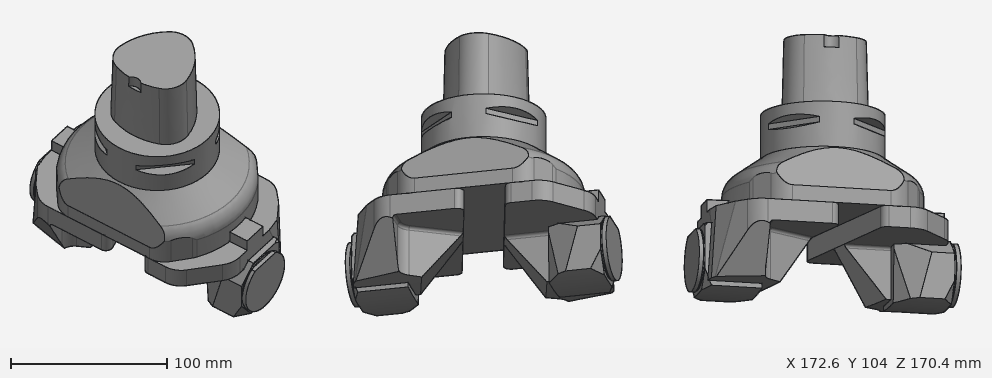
import cadquery as cq
import math


HALF_WIDTH = 104.0 / 2
CORNER_RADIUS = 16.5
KEY_WIDTH = 16.9
KEY_HEIGHT = 8.3

SHOULDER_RADIUS = 64.9
SHOULDER_ARC_RADIUS = 13.8
SHOULDER_ARC_BASE = 15.2
CONE_ANGLE = 35.0
COLLAR_RADIUS = 80.0 / 2
COLLAR_BASE = 40.0
COLLAR_TOP = 69.9
CORNER_FLAT_DISTANCE = 64.2
CORNER_FLAT_ANGLE = 40.0
FACET_BASE = 10.0
FACET_LEAN = 20.0

GROOVE_FLOOR_DISTANCE = 35.2
GROOVE_FLOOR_HEIGHT = 3.6
GROOVE_MOUTH_HEIGHT = 8.6
GROOVE_LEVEL = 58.0
GROOVE_LENGTH = 69.0
GROOVE_OVERRUN = 1.7
GROOVE_ANGLES = (45, 135, 225, 315)

SHANK_TOP = 117.9
FLANK_RADIUS = 46.0
FLANK_DISTANCE = 24.2
FLANK_HALF_ANGLE = 21.8
SHANK_BASE_RATIO = 1.045
NOTCH_RADIUS = 6.4
NOTCH_CENTER = 28.1
NOTCH_DEPTH = 8.1

PLATE_THICKNESS = 14.0
STEM_DEPTH = 48.5
STEM_EDGE_DEPTH = 46.0
END_WALL_X = 78.2
FLARE_X = 81.1
SIDE_SLOPE_TOP = 16.4
SIDE_SLOPE_END_Y = 37.0
FLARE_DEPTH = 47.1
INNER_WALL_X = 13.6
INNER_WALL_ANGLE = 15.0
INNER_CORNER_RADIUS = 4.8
END_CORNER_RADIUS = 18.6
REAR_SLANT_ANGLE = 41.5
REAR_SLANT_DISTANCE = 74.0
FRONT_SLANT_ANGLE = 43.5
FRONT_SLANT_DISTANCE = 76.3
STEP_X = 47.0
STEP_Y = 33.3
WEB_ANGLE = 30.0
WEB_FILLET = 10.4
PLATE_FILLET = 2.2
INNER_SLOPE_ANGLE = 38.2

FLARE_END = (-END_WALL_X, -15.2, 0)
FLARE_RIDGE_TOP = (-76.5, -25.9, 0)
FLARE_RIDGE_FOOT = (-79.5, -26.0, -FLARE_DEPTH)
FLARE_SLANT_TOP = (-67.1, -40.0, 0)
FLARE_FOOT = (-76.5, -30.0, -FLARE_DEPTH)

CARTRIDGE_INNER_X = 44.9
CARTRIDGE_OUTER_X = 82.3
CARTRIDGE_HALF_WIDTH = 40.2 / 2
CARTRIDGE_TOP = 9.8
CARTRIDGE_SIDE_DEPTH = 51.2
CARTRIDGE_DEPTH = 52.5
TOP_CHAMFER_WIDTH = 12.8
TOP_CHAMFER_DEPTH = 10.9

BEVEL_TOP = (-67.1, CARTRIDGE_HALF_WIDTH, -CARTRIDGE_TOP - TOP_CHAMFER_DEPTH)
BEVEL_BOTTOM = (-59.2, CARTRIDGE_HALF_WIDTH, -CARTRIDGE_SIDE_DEPTH)
BEVEL_RIDGE_TOP = (-CARTRIDGE_INNER_X, 8.6, -17.0)
BEVEL_RIDGE_BOTTOM = (-53.5, 17.3, -CARTRIDGE_SIDE_DEPTH)
BEVEL_INNER_BOTTOM = (-CARTRIDGE_INNER_X, 6.5, -CARTRIDGE_SIDE_DEPTH)

LOWER_REAR_CUT = (6.5, -9.5, 13.0)
LOWER_FRONT_CUT = (4.1, 9.1, 10.9)
UPPER_FRONT_CUT = (1.7, 4.1, -2.0)

CAP_OUTER_X = 86.3
CAP_INNER_X = 83.3
CAP_RADIUS = 20.9
CAP_HUB_RADIUS = 20.0
CAP_DEPTH = 29.9
CAP_FLAT_DEPTH = 12.0

FAR = 345.1


def direction(angle):
    """Unit vector in the XY plane."""
    return (math.cos(math.radians(angle)), math.sin(math.radians(angle)))


def trim(body, point, normal):
    """Remove everything beyond a plane; `normal` points into the removed side."""
    plane = cq.Plane(origin=point, normal=normal)
    return body.cut(cq.Workplane(plane).rect(FAR, FAR).extrude(FAR))


def trim_through(body, first, second, third, outside):
    """Trim by the plane through three points, on the side that faces `outside`."""
    origin = cq.Vector(*first)
    normal = (cq.Vector(*second) - origin).cross(cq.Vector(*third) - origin)
    if normal.dot(cq.Vector(*outside)) < 0:
        normal = normal * -1
    return trim(body, first, normal.toTuple())


def y_on_line(x, angle, distance):
    """Y where the line with this normal angle and distance from the origin has the given X."""
    across, up = direction(angle)
    return (distance - x * across) / up


def x_on_line(y, angle, distance):
    """X where the line with this normal angle and distance from the origin has the given Y."""
    across, up = direction(angle)
    return (distance - y * up) / across



def adapter_base():
    arc_center = SHOULDER_RADIUS - SHOULDER_ARC_RADIUS

    def on_arc(angle):
        across, up = direction(angle)
        return (arc_center + SHOULDER_ARC_RADIUS * across, SHOULDER_ARC_BASE + SHOULDER_ARC_RADIUS * up)

    cone_normal = 90 - CONE_ANGLE
    turned = (
        cq.Workplane("XZ")
        .moveTo(0, 0)
        .lineTo(SHOULDER_RADIUS, 0)
        .lineTo(SHOULDER_RADIUS, SHOULDER_ARC_BASE)
        .threePointArc(on_arc(cone_normal / 2), on_arc(cone_normal))
        .lineTo(COLLAR_RADIUS, COLLAR_BASE)
        .lineTo(0, COLLAR_BASE)
        .close()
        .revolve(360, (0, 0, 0), (0, 1, 0))
    )
    blank = cq.Workplane().rect(2 * SHOULDER_RADIUS, 2 * HALF_WIDTH).extrude(COLLAR_BASE)
    for side in (-1, 1):
        for end in (-1, 1):
            across, up = direction(CORNER_FLAT_ANGLE)
            normal = (end * across, side * up, 0)
            foot = tuple(CORNER_FLAT_DISTANCE * part for part in normal)
            blank = trim(blank, foot, normal)
    blank = blank.edges("|Z").edges(">Y or <Y").fillet(CORNER_RADIUS)
    blank = blank.intersect(cq.Workplane().circle(SHOULDER_RADIUS).extrude(COLLAR_BASE))
    flat_middle_y = CORNER_FLAT_DISTANCE * direction(CORNER_FLAT_ANGLE)[1]
    flat_ends = cq.selectors.BoxSelector((-FAR, -flat_middle_y, -FAR), (FAR, flat_middle_y, FAR))
    blank = blank.edges("|Z").edges(flat_ends).fillet(CORNER_RADIUS)
    base = turned.intersect(blank)
    inward, upward = direction(FACET_LEAN)
    for side in (-1, 1):
        base = trim(base, (0, side * HALF_WIDTH, FACET_BASE), (0, side * inward, upward))
    collar = (
        cq.Workplane(origin=(0, 0, COLLAR_BASE))
        .circle(COLLAR_RADIUS)
        .extrude(COLLAR_TOP - COLLAR_BASE)
    )
    return base.union(collar)


def groove_cutter():
    """Groove across the +X side of the collar, widening towards its mouth."""
    flare = (GROOVE_MOUTH_HEIGHT - GROOVE_FLOOR_HEIGHT) / (COLLAR_RADIUS - GROOVE_FLOOR_DISTANCE)
    outer = COLLAR_RADIUS + GROOVE_OVERRUN
    outer_height = GROOVE_FLOOR_HEIGHT + flare * (outer - GROOVE_FLOOR_DISTANCE)
    return (
        cq.Workplane("XZ")
        .polyline([
            (GROOVE_FLOOR_DISTANCE, GROOVE_LEVEL - GROOVE_FLOOR_HEIGHT / 2),
            (outer, GROOVE_LEVEL - outer_height / 2),
            (outer, GROOVE_LEVEL + outer_height / 2),
            (GROOVE_FLOOR_DISTANCE, GROOVE_LEVEL + GROOVE_FLOOR_HEIGHT / 2),
        ])
        .close()
        .extrude(GROOVE_LENGTH / 2, both=True)
    )


def shank_points(ratio):
    """Distance and angle of a joint, then distances of a flank's middle and a lobe's tip."""
    half_angle = math.radians(FLANK_HALF_ANGLE)
    flank_offset = FLANK_RADIUS - FLANK_DISTANCE
    joint_x = FLANK_RADIUS * math.sin(half_angle)
    joint_y = flank_offset - FLANK_RADIUS * math.cos(half_angle)
    lobe_angle = math.radians(60) - half_angle
    lobe_offset = flank_offset * math.sin(half_angle) / math.sin(lobe_angle)
    lobe_radius = FLANK_RADIUS - flank_offset * math.sin(math.radians(60)) / math.sin(lobe_angle)
    joint_distance = ratio * math.hypot(joint_x, joint_y)
    joint_angle = math.degrees(math.atan2(joint_y, joint_x))
    return joint_distance, joint_angle, ratio * FLANK_DISTANCE, ratio * (lobe_offset + lobe_radius)


def shank_wire(level, ratio):
    """Three-lobed outline at one level; a flank faces -Y and a lobe points to +Y."""
    joint_distance, joint_angle, flank_distance, tip_distance = shank_points(ratio)

    def at(distance, angle):
        across, up = direction(angle)
        return cq.Vector(distance * across, distance * up, level)

    edges = []
    for turn in (0, 120, 240):
        flank_start = at(joint_distance, turn + 180 - joint_angle)
        flank_end = at(joint_distance, turn + joint_angle)
        next_flank = at(joint_distance, turn + 300 - joint_angle)
        edges.append(cq.Edge.makeThreePointArc(flank_start, at(flank_distance, turn - 90), flank_end))
        edges.append(cq.Edge.makeThreePointArc(flank_end, at(tip_distance, turn - 30), next_flank))
    return cq.Wire.assembleEdges(edges)


def shank():
    base = shank_wire(COLLAR_TOP, SHANK_BASE_RATIO)
    top = shank_wire(SHANK_TOP, 1.0)
    body = cq.Workplane(cq.Solid.makeLoft([base, top], True))
    notch = (
        cq.Workplane(origin=(0, -NOTCH_CENTER, SHANK_TOP - NOTCH_DEPTH))
        .circle(NOTCH_RADIUS)
        .extrude(NOTCH_DEPTH)
    )
    return body.cut(notch)


def make_adapter(keys):
    body = adapter_base()
    for angle in GROOVE_ANGLES:
        body = body.cut(groove_cutter().rotate((0, 0, 0), (0, 0, 1), angle))
    body = body.union(shank())
    for key in keys:
        body = body.cut(key)
    return body



def inner_wall_x(y):
    return -INNER_WALL_X - y * math.tan(math.radians(INNER_WALL_ANGLE))


def web_y(x):
    return -STEP_Y + (x + STEP_X) * math.tan(math.radians(WEB_ANGLE))


def slide_blank(bottom, top):
    """Plan of the slide between two levels, with its corners rounded."""
    rear_slant = 180 - REAR_SLANT_ANGLE
    front_slant = 180 + FRONT_SLANT_ANGLE
    inner_front = (inner_wall_x(-HALF_WIDTH), -HALF_WIDTH)
    inner_rear = (inner_wall_x(HALF_WIDTH), HALF_WIDTH)
    outer_rear = (x_on_line(HALF_WIDTH, rear_slant, REAR_SLANT_DISTANCE), HALF_WIDTH)
    end_rear = (-END_WALL_X, y_on_line(-END_WALL_X, rear_slant, REAR_SLANT_DISTANCE))
    flare_front = (-FLARE_X, y_on_line(-FLARE_X, front_slant, FRONT_SLANT_DISTANCE))
    outer_front = (x_on_line(-HALF_WIDTH, front_slant, FRONT_SLANT_DISTANCE), -HALF_WIDTH)
    blank = (
        cq.Workplane(origin=(0, 0, bottom))
        .polyline([
            inner_front,
            inner_rear,
            outer_rear,
            end_rear,
            (-END_WALL_X, -CARTRIDGE_HALF_WIDTH),
            (-FLARE_X, -CARTRIDGE_HALF_WIDTH),
            flare_front,
            outer_front,
        ])
        .close()
        .extrude(top - bottom)
    )
    for corner, radius in (
        (inner_front, INNER_CORNER_RADIUS),
        (inner_rear, INNER_CORNER_RADIUS),
        (outer_rear, CORNER_RADIUS),
        (end_rear, END_CORNER_RADIUS),
        (outer_front, CORNER_RADIUS),
    ):
        edge = cq.NearestToPointSelector((*corner, (bottom + top) / 2))
        blank = blank.edges("|Z").edges(edge).fillet(radius)
    return blank


def stem():
    """Part of the slide below its plate: an outer block and a web, with sloped sides."""
    plan = (
        cq.Workplane(origin=(0, 0, -PLATE_THICKNESS))
        .polyline([
            (0, 0),
            (-FAR, 0),
            (-FAR, -FAR),
            (-STEP_X, -FAR),
            (-STEP_X, -STEP_Y),
            (0, web_y(0)),
        ])
        .close()
        .extrude(-FAR)
        .edges(cq.NearestToPointSelector((-STEP_X, -STEP_Y, -FAR / 2)))
        .fillet(WEB_FILLET)
    )
    section = (
        cq.Workplane("YZ")
        .moveTo(-HALF_WIDTH, -STEM_EDGE_DEPTH)
        .threePointArc((0, -STEM_DEPTH), (HALF_WIDTH, -STEM_EDGE_DEPTH))
        .lineTo(HALF_WIDTH, 0)
        .lineTo(-HALF_WIDTH, 0)
        .close()
        .extrude(-FAR)
    )
    body = slide_blank(-STEM_DEPTH, 0).intersect(plan).intersect(section)
    across, up = direction(INNER_WALL_ANGLE)
    outward, downward = direction(INNER_SLOPE_ANGLE)
    body = trim(
        body,
        (inner_wall_x(0), 0, -PLATE_THICKNESS),
        (outward * across, outward * up, -downward),
    )
    return trim_through(
        body,
        (-STEP_X, -HALF_WIDTH, -SIDE_SLOPE_TOP),
        (-STEP_X, -SIDE_SLOPE_END_Y, -FLARE_DEPTH),
        FLARE_FOOT,
        (0, -1, -1),
    )


def slide_key():
    """Rail along the top of the slide that runs in the adapter's slot."""
    band = cq.Workplane().rect(FAR, KEY_WIDTH).extrude(KEY_HEIGHT)
    return slide_blank(0, KEY_HEIGHT).intersect(band)


def make_slide(cartridge):
    body = slide_blank(-PLATE_THICKNESS, 0).union(stem())
    margin = 1.7
    root = cq.selectors.BoxSelector(
        (-STEP_X - margin, margin - HALF_WIDTH, -PLATE_THICKNESS - margin),
        (-INNER_WALL_X - margin, margin, -PLATE_THICKNESS + margin),
    )
    body = body.edges(root).fillet(PLATE_FILLET)
    outside = (-1, -1, 0)
    body = trim_through(body, FLARE_END, FLARE_RIDGE_TOP, FLARE_RIDGE_FOOT, outside)
    body = trim_through(body, FLARE_SLANT_TOP, FLARE_RIDGE_TOP, FLARE_RIDGE_FOOT, outside)
    body = body.union(slide_key())
    return body.cut(cartridge)



def make_cartridge():
    wide = CARTRIDGE_HALF_WIDTH
    inner = -CARTRIDGE_INNER_X
    outer = -CARTRIDGE_OUTER_X
    body = (
        cq.Workplane("YZ", origin=(outer, 0, 0))
        .moveTo(-wide, -CARTRIDGE_TOP)
        .lineTo(wide - TOP_CHAMFER_WIDTH, -CARTRIDGE_TOP)
        .lineTo(wide, -CARTRIDGE_TOP - TOP_CHAMFER_DEPTH)
        .lineTo(wide, -CARTRIDGE_SIDE_DEPTH)
        .threePointArc((0, -CARTRIDGE_DEPTH), (-wide, -CARTRIDGE_SIDE_DEPTH))
        .close()
        .extrude(inner - outer)
    )
    bevel_side = (1, 1, 0)
    body = trim_through(body, BEVEL_TOP, BEVEL_BOTTOM, BEVEL_RIDGE_TOP, bevel_side)
    body = trim_through(body, BEVEL_RIDGE_TOP, BEVEL_RIDGE_BOTTOM, BEVEL_INNER_BOTTOM, bevel_side)
    for y, z, setback in (
        (wide, -CARTRIDGE_SIDE_DEPTH, LOWER_REAR_CUT),
        (-wide, -CARTRIDGE_SIDE_DEPTH, LOWER_FRONT_CUT),
        (-wide, -CARTRIDGE_TOP, UPPER_FRONT_CUT),
    ):
        along, across, up = setback
        body = trim_through(
            body,
            (outer + along, y, z),
            (outer, y + across, z),
            (outer, y, z + up),
            (-along, -across, -up),
        )
    return body



def make_cap():
    face = cq.Workplane("YZ", origin=(-CAP_OUTER_X, 0, -CAP_DEPTH))
    disc = face.circle(CAP_RADIUS).extrude(CAP_OUTER_X - CAP_INNER_X)
    disc = trim(disc, (0, 0, -CAP_FLAT_DEPTH), (0, 0, 1))
    hub = disc.faces(">X").workplane(origin=(0, 0, -CAP_DEPTH)).circle(CAP_HUB_RADIUS)
    hub = hub.extrude(CAP_INNER_X - CARTRIDGE_OUTER_X, combine=False)
    return disc.union(hub)


def both_ends(body):
    return [body, body.rotate((0, 0, 0), (0, 0, 1), 180)]


cartridges = both_ends(make_cartridge())
slides = both_ends(make_slide(cartridges[0]))
caps = both_ends(make_cap())
adapter = make_adapter(both_ends(slide_key()))

result = cq.Compound.makeCompound(
    [adapter.val()] + [body.val() for body in slides + cartridges + caps]
)